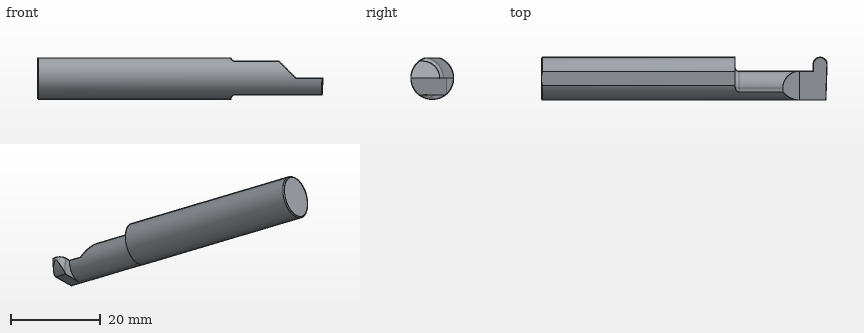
import cadquery as cq

length = 63.5
shank_radius = 4.75
shank_end = 43.05
flat_height = 4.5
rear_chamfer = 0.25
neck_radius = 3.75
neck_side = 1.65
root_fillet = 0.8
face_start = 57.4
finger_width = 3.1
clearance_angle = 3.0
end_relief = 0.25

neck_axis_y = neck_side - neck_radius
finger_radius = finger_width / 2
finger_start = length - finger_width
finger_center_x = length - finger_radius
finger_center_y = shank_radius - finger_radius


def make_envelope():
    """Full-length round bar with a chamfered rear end, which bounds every feature."""
    bar = cq.Workplane("YZ").circle(shank_radius).extrude(length)
    return bar.faces("<X").chamfer(rear_chamfer)


def cut_clamping_flat(body):
    above_flat = (
        cq.Workplane("XY", origin=(0, 0, flat_height))
        .rect(2 * length, 2 * shank_radius)
        .extrude(shank_radius)
    )
    return body.cut(above_flat)


def make_shank_and_neck():
    """Round shank carrying a half-round neck with a concave root blend."""
    outer_y = -2 * shank_radius
    block_width = 4 * shank_radius
    shoulder = cq.Workplane("YZ").rect(block_width, block_width).extrude(shank_end)
    neck = (
        cq.Workplane("YZ", origin=(shank_end, 0, 0))
        .moveTo(outer_y, neck_radius)
        .lineTo(neck_axis_y, neck_radius)
        .threePointArc((neck_side, 0), (neck_axis_y, -neck_radius))
        .lineTo(outer_y, -neck_radius)
        .close()
        .extrude(finger_center_x - shank_end)
    )
    root_edges = cq.selectors.BoxSelector(
        (shank_end - root_fillet, outer_y + root_fillet, -shank_radius),
        (shank_end + root_fillet, shank_radius, shank_radius),
    )
    blended = shoulder.union(neck).edges(root_edges).fillet(root_fillet)
    return blended.intersect(make_envelope())


def make_tip():
    """Round-nosed finger and end of the tool, with walls drawn in below the cutting face."""
    outer_y = -2 * shank_radius
    end_slope = end_relief / (finger_center_y + shank_radius)
    outer_end_x = length - end_slope * (finger_center_y - outer_y)
    tip = (
        cq.Workplane("XY")
        .moveTo(finger_start, outer_y)
        .lineTo(finger_start, finger_center_y)
        .threePointArc((finger_center_x, shank_radius), (length, finger_center_y))
        .lineTo(outer_end_x, outer_y)
        .close()
        .extrude(-neck_radius, taper=clearance_angle)
    )
    return tip.intersect(make_envelope())


def cut_face_and_ramp(body):
    """Open the cutting face at axis height, with a 45 degree ramp behind it."""
    opening = (
        cq.Workplane("XZ")
        .moveTo(face_start, 0)
        .lineTo(face_start - shank_radius, shank_radius)
        .lineTo(length, shank_radius)
        .lineTo(length, 0)
        .close()
        .extrude(shank_radius, both=True)
    )
    return body.cut(opening)


body = cut_face_and_ramp(cut_clamping_flat(make_shank_and_neck()))
result = body.union(make_tip())